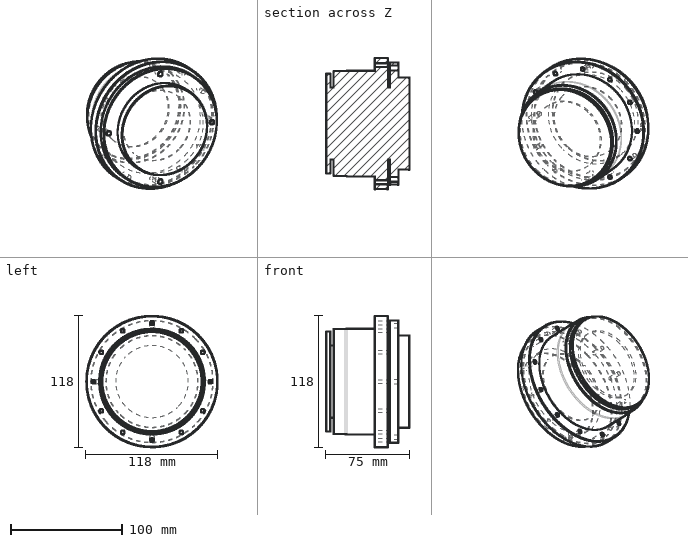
import cadquery as cq

CAP_END = 4.0
BODY_START = 6.5
TAPER_START = 17.0
TAPER_END = 18.5
FLANGE_START = 43.5
FLANGE_END = 55.5
DISC_START = 57.0
DISC_END = 65.0
HUB_END = 75.0

CAP_DIAMETER = 90.0
NECK_DIAMETER = 65.0
PILOT_DIAMETER = 94.5
BODY_DIAMETER = 95.0
FLANGE_DIAMETER = 118.0
DISC_DIAMETER = 110.0
HUB_DIAMETER = 83.0

EDGE_CHAMFER = 0.5

BOLT_COUNT = 12
BOLT_CIRCLE = 105.0
BOLT_DIAMETER = 3.3

DISC_HOLE_COUNT = 4
DISC_HOLE_CIRCLE = 100.0
DISC_HOLE_DIAMETER = 4.2


def cylinder(start, end, diameter):
    """Solid cylinder on the X axis between two stations."""
    return cq.Workplane("YZ", origin=(start, 0, 0)).circle(diameter / 2).extrude(end - start)


def hole_ring(start, end, count, circle_diameter, hole_diameter):
    """Cutters parallel to X, evenly spaced around the axis starting on +Y."""
    return (
        cq.Workplane("YZ", origin=(start, 0, 0))
        .polarArray(circle_diameter / 2, 0, 360, count)
        .circle(hole_diameter / 2)
        .extrude(end - start)
    )


def chamfered_disc(start, end, diameter):
    """Cylinder with both rims chamfered."""
    return cylinder(start, end, diameter).edges("%CIRCLE").chamfer(EDGE_CHAMFER)


def make_body():
    """Main barrel: a slightly smaller pilot, a short taper, then the full diameter."""
    pilot_radius = PILOT_DIAMETER / 2
    body_radius = BODY_DIAMETER / 2
    return (
        cq.Workplane("XY")
        .moveTo(BODY_START, 0)
        .lineTo(BODY_START, pilot_radius - EDGE_CHAMFER)
        .lineTo(BODY_START + EDGE_CHAMFER, pilot_radius)
        .lineTo(TAPER_START, pilot_radius)
        .lineTo(TAPER_END, body_radius)
        .lineTo(FLANGE_START, body_radius)
        .lineTo(FLANGE_START, 0)
        .close()
        .revolve(360, (0, 0, 0), (1, 0, 0))
    )


def make_flange():
    """Largest disc, with a ring of through bolt holes."""
    flange = chamfered_disc(FLANGE_START, FLANGE_END, FLANGE_DIAMETER)
    return flange.cut(hole_ring(FLANGE_START, FLANGE_END, BOLT_COUNT, BOLT_CIRCLE, BOLT_DIAMETER))


def make_disc():
    """Disc behind the flange, with four through holes."""
    disc = chamfered_disc(DISC_START, DISC_END, DISC_DIAMETER)
    holes = hole_ring(DISC_START, DISC_END, DISC_HOLE_COUNT, DISC_HOLE_CIRCLE, DISC_HOLE_DIAMETER)
    return disc.cut(holes)


def make_hub():
    """Rear hub with its outer rim chamfered."""
    hub = cylinder(DISC_END, HUB_END, HUB_DIAMETER)
    return hub.faces(">X").edges().chamfer(EDGE_CHAMFER)


cap = chamfered_disc(0, CAP_END, CAP_DIAMETER)
front_neck = cylinder(CAP_END, BODY_START, NECK_DIAMETER)
rear_neck = cylinder(FLANGE_END, DISC_START, NECK_DIAMETER)

result = (
    cap.union(front_neck)
    .union(make_body())
    .union(make_flange())
    .union(rear_neck)
    .union(make_disc())
    .union(make_hub())
)